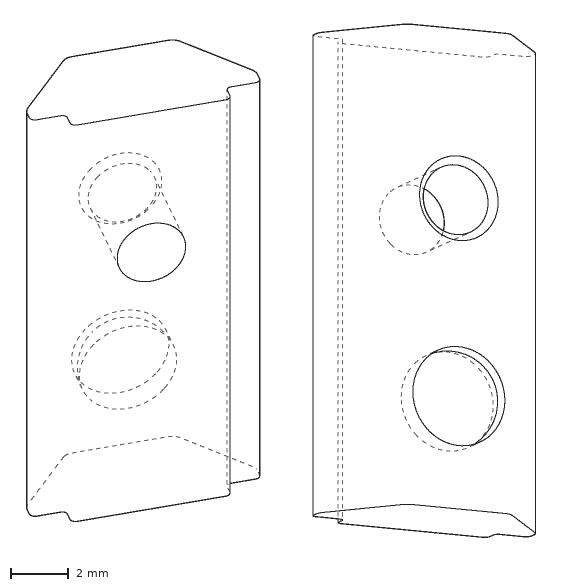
import cadquery as cq
import math

length = 17.0
flange_width = 8.3
body_depth = 3.91
flange_depth = 3.23
tongue_width = 5.76
front_width = 3.93
flank_angle = 40.0

flank_radius = 0.5
flange_radius = 0.2
shoulder_radius = 0.17
tongue_radius = 0.2

hole_diameter = 2.46
countersink_diameter = 3.0
hole_height = length - 6.0

ball_diameter = 3.5
ball_protrusion = 0.78
ball_height = 4.0
ball_radius = ball_diameter / 2
ball_center_depth = ball_radius - ball_protrusion


def round_edges(body, x, half_width, radius):
    """Round the mirrored pair of Z edges at the given profile corner."""
    for y in (-half_width, half_width):
        nearest = cq.selectors.NearestToPointSelector((x, y, length / 2))
        body = body.edges("|Z").edges(nearest).fillet(radius)
    return body


def make_body():
    half_front = front_width / 2
    half_flange = flange_width / 2
    half_tongue = tongue_width / 2
    flank_end = (half_flange - half_front) / math.tan(math.radians(flank_angle))

    half_profile = [
        (0, half_front),
        (flank_end, half_flange),
        (flange_depth, half_flange),
        (flange_depth, half_tongue),
        (body_depth, half_tongue),
    ]
    mirrored = [(x, -y) for x, y in reversed(half_profile)]
    body = cq.Workplane("XY").polyline(half_profile + mirrored).close().extrude(length)

    body = round_edges(body, 0, half_front, flank_radius)
    body = round_edges(body, flank_end, half_flange, flank_radius)
    body = round_edges(body, flange_depth, half_flange, flange_radius)
    body = round_edges(body, flange_depth, half_tongue, shoulder_radius)
    return round_edges(body, body_depth, half_tongue, tongue_radius)


def make_hole():
    """Through hole with a 45 degree countersink on the front face."""
    hole_radius = hole_diameter / 2
    countersink_radius = countersink_diameter / 2
    countersink_depth = countersink_radius - hole_radius
    return (
        cq.Workplane("XY")
        .polyline([
            (0, 0),
            (0, countersink_radius),
            (countersink_depth, hole_radius),
            (body_depth, hole_radius),
            (body_depth, 0),
        ])
        .close()
        .revolve(360, (0, 0), (1, 0))
        .translate((0, 0, hole_height))
    )


def make_ball_bore():
    """Bore from the front face to the ball's widest circle."""
    return (
        cq.Workplane("YZ")
        .center(0, ball_height)
        .circle(ball_radius)
        .extrude(ball_center_depth)
    )


def make_ball_dome():
    """Front half of the ball, standing on the floor of its bore."""
    arc_offset = ball_radius * math.sqrt(0.5)
    return (
        cq.Workplane("XY")
        .moveTo(ball_center_depth, 0)
        .lineTo(-ball_protrusion, 0)
        .threePointArc(
            (ball_center_depth - arc_offset, arc_offset),
            (ball_center_depth, ball_radius),
        )
        .close()
        .revolve(360, (0, 0), (1, 0))
        .translate((0, 0, ball_height))
    )


result = make_body().cut(make_hole()).cut(make_ball_bore()).union(make_ball_dome())